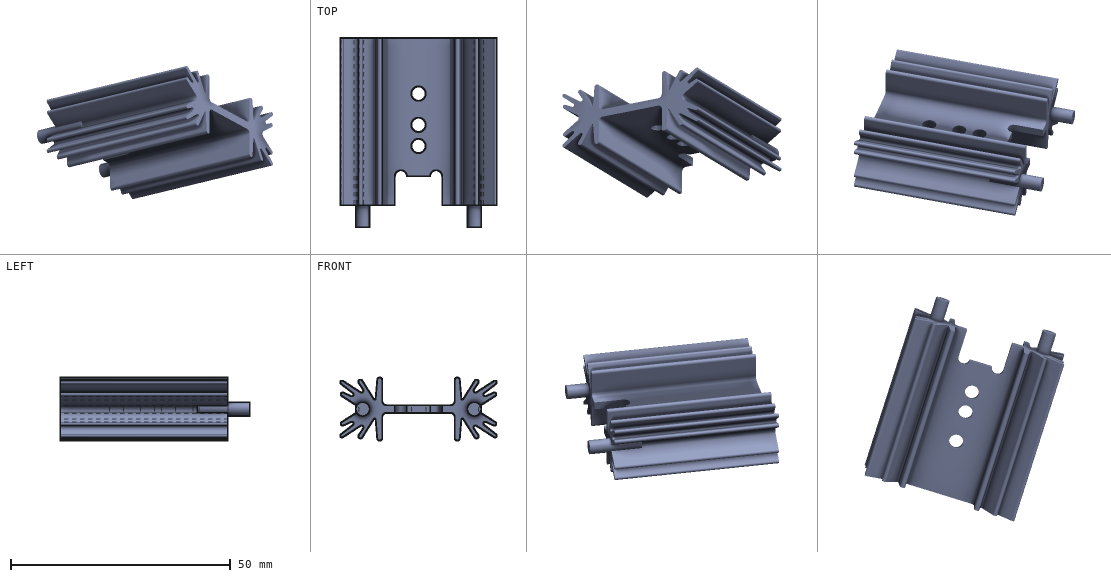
import cadquery as cq
import math


BODY_LENGTH = 38.1
BODY_HEIGHT = 14.39
BODY_WIDTH = 35.63

WEB_THICKNESS = 1.8
WEB_FILLET_RADIUS = 0.95
WALL_X = 8.22

UPRIGHT_TIP_RADIUS = 0.6
DIAGONAL_TIP_RADIUS = 0.5
DIAGONAL_TIP_CENTRE = (13.2, 6.2)
OUTER_TIP_RADIUS = 0.43
OUTER_TIP_HEIGHT = 6.05
SIDE_TIP_RADIUS = 0.45
SIDE_TIP_CENTRE = (17.25, 3.35)

UPRIGHT_GROOVE_RADIUS = 0.2
UPRIGHT_GROOVE_CENTRE = (9.97, 2.37)
DIAGONAL_GROOVE_RADIUS = 0.42
DIAGONAL_GROOVE_CENTRE = (12.97, 4.2)
OUTER_GROOVE_RADIUS = 0.38
OUTER_GROOVE_CENTRE = (15.15, 3.3)
SIDE_GROOVE_RADIUS = 0.85
SIDE_GROOVE_CENTRE = (14.4, 0.0)

PIN_SPACING = 25.4
PIN_DIAMETER = 3.2
PIN_PROJECTION = 5.0
PIN_EMBEDMENT = 7.0

HOLE_DIAMETER = 3.2
HOLE_DISTANCES = (13.5, 18.3, 25.4)
NOTCH_WIDTH = 10.7
NOTCH_DEPTH = 6.6
RELIEF_RADIUS = 1.35


def cross_tangent(start, end, turn):
    """Ends of the straight line that leaves one round and meets the opposite side of the next.

    Each round is (centre, radius); turn is +1 when the first is followed counter-clockwise, else -1.
    """
    (x1, z1), r1 = start
    (x2, z2), r2 = end
    heading = math.atan2(z2 - z1, x2 - x1)
    lean = math.asin((r1 + r2) / math.hypot(x2 - x1, z2 - z1))
    normal = heading - turn * (math.pi / 2 - lean)
    nx = math.cos(normal)
    nz = math.sin(normal)
    return (x1 + r1 * nx, z1 + r1 * nz), (x2 - r2 * nx, z2 - r2 * nz)


def arc_middle(centre, radius, first, last, turn):
    """Middle point of the arc from first to last, counter-clockwise if turn is +1, else clockwise."""
    start_angle = math.atan2(first[1] - centre[1], first[0] - centre[0])
    end_angle = math.atan2(last[1] - centre[1], last[0] - centre[0])
    sweep = (turn * (end_angle - start_angle)) % (2 * math.pi)
    middle_angle = start_angle + turn * sweep / 2
    return centre[0] + radius * math.cos(middle_angle), centre[1] + radius * math.sin(middle_angle)


def profile_quarter():
    """One quarter (+X, +Z) of the extrusion: alternating grooves and fin tips joined by tangent flanks."""
    half_web = WEB_THICKNESS / 2
    upright_tip = (WALL_X + UPRIGHT_TIP_RADIUS, BODY_HEIGHT / 2 - UPRIGHT_TIP_RADIUS)
    outer_tip = (BODY_WIDTH / 2 - OUTER_TIP_RADIUS, OUTER_TIP_HEIGHT)
    web_fillet = (WALL_X - WEB_FILLET_RADIUS, half_web + WEB_FILLET_RADIUS)
    rounds = [
        (SIDE_GROOVE_CENTRE, SIDE_GROOVE_RADIUS),
        (SIDE_TIP_CENTRE, SIDE_TIP_RADIUS),
        (OUTER_GROOVE_CENTRE, OUTER_GROOVE_RADIUS),
        (outer_tip, OUTER_TIP_RADIUS),
        (DIAGONAL_GROOVE_CENTRE, DIAGONAL_GROOVE_RADIUS),
        (DIAGONAL_TIP_CENTRE, DIAGONAL_TIP_RADIUS),
        (UPRIGHT_GROOVE_CENTRE, UPRIGHT_GROOVE_RADIUS),
        (upright_tip, UPRIGHT_TIP_RADIUS),
        (web_fillet, WEB_FILLET_RADIUS),
    ]
    arc_start = (SIDE_GROOVE_CENTRE[0] - SIDE_GROOVE_RADIUS, 0)
    outline = cq.Workplane("XZ").lineTo(*arc_start)
    turn = -1
    for current, following in zip(rounds, rounds[1:]):
        flank_start, flank_end = cross_tangent(current, following, turn)
        middle = arc_middle(*current, arc_start, flank_start, turn)
        outline = outline.threePointArc(middle, flank_start)
        outline = outline.lineTo(*flank_end)
        arc_start = flank_end
        turn = -turn
    fillet_end = (web_fillet[0], half_web)
    middle = arc_middle(*rounds[-1], arc_start, fillet_end, turn)
    outline = outline.threePointArc(middle, fillet_end)
    return outline.lineTo(0, half_web).close().extrude(-BODY_LENGTH)


def extrusion():
    quarter = profile_quarter()
    half = quarter.union(quarter.mirror("XY"))
    return half.union(half.mirror("YZ"))


def pins():
    return (
        cq.Workplane("XZ", origin=(0, -PIN_PROJECTION, 0))
        .pushPoints([(-PIN_SPACING / 2, 0), (PIN_SPACING / 2, 0)])
        .circle(PIN_DIAMETER / 2)
        .extrude(-(PIN_PROJECTION + PIN_EMBEDMENT))
    )


def web_underside():
    """Workplane on the lower face of the web."""
    return cq.Workplane("XY", origin=(0, 0, -WEB_THICKNESS / 2))


def mounting_holes():
    centres = [(0, distance) for distance in HOLE_DISTANCES]
    return web_underside().pushPoints(centres).circle(HOLE_DIAMETER / 2).extrude(WEB_THICKNESS)


def front_notch():
    """Rectangular notch with a round relief at each inner corner, tangent to the notch side."""
    notch = web_underside().center(0, NOTCH_DEPTH / 2).rect(NOTCH_WIDTH, NOTCH_DEPTH).extrude(WEB_THICKNESS)
    relief_x = NOTCH_WIDTH / 2 - RELIEF_RADIUS
    centres = [(-relief_x, NOTCH_DEPTH), (relief_x, NOTCH_DEPTH)]
    reliefs = web_underside().pushPoints(centres).circle(RELIEF_RADIUS).extrude(WEB_THICKNESS)
    return notch.union(reliefs)


result = extrusion().union(pins()).cut(mounting_holes()).cut(front_notch())